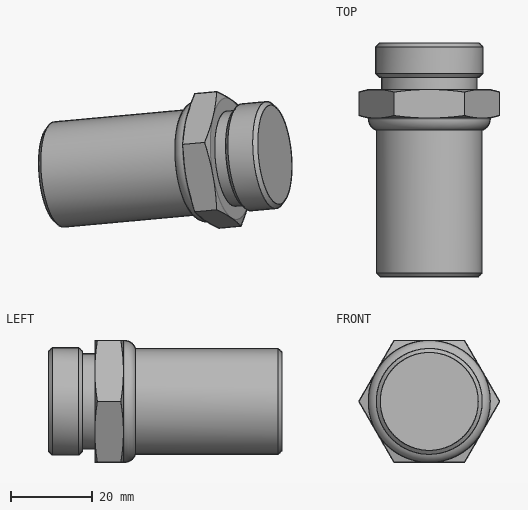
import cadquery as cq
import math

total_length = 57.45
pipe_diameter = 26.0
pipe_length = 36.0
pipe_chamfer = 1.0
collar_length = 3.0
collar_arc_radius = 3.0
hex_across_flats = 30.0
hex_length = 7.0
hex_chamfer_angle = 15.0
neck_diameter = 23.5
neck_length = 3.0
head_diameter = 26.4
head_chamfer = 1.0

pipe_end = -total_length / 2
collar_start = pipe_end + pipe_length
hex_start = collar_start + collar_length
neck_start = hex_start + hex_length
head_start = neck_start + neck_length
head_length = total_length / 2 - head_start
hex_across_corners = hex_across_flats / math.cos(math.radians(30))


def cylinder(diameter, start, length):
    """Solid cylinder growing toward +Y from the given start."""
    return cq.Workplane("XZ", origin=(0, start, 0)).circle(diameter / 2).extrude(-length)


def make_hex():
    """Hexagon with corners on X and both ends turned to a shallow cone."""
    prism = (
        cq.Workplane("XZ", origin=(0, hex_start, 0))
        .polygon(6, hex_across_corners)
        .extrude(-hex_length)
    )
    face_radius = hex_across_flats / 2
    corner_radius = hex_across_corners / 2
    corner_drop = (corner_radius - face_radius) * math.tan(math.radians(hex_chamfer_angle))
    turned_envelope = (
        cq.Workplane("XY")
        .moveTo(0, hex_start)
        .lineTo(face_radius, hex_start)
        .lineTo(corner_radius, hex_start + corner_drop)
        .lineTo(corner_radius, neck_start - corner_drop)
        .lineTo(face_radius, neck_start)
        .lineTo(0, neck_start)
        .close()
        .revolve(360, (0, 0, 0), (0, 1, 0))
    )
    return prism.intersect(turned_envelope)


def make_collar():
    """Collar with a short straight rim, then a convex arc curving in to meet the pipe."""
    outer_radius = hex_across_flats / 2
    pipe_radius = pipe_diameter / 2
    arc_centre_radius = outer_radius - collar_arc_radius
    arc_depth = math.sqrt(collar_arc_radius**2 - (pipe_radius - arc_centre_radius) ** 2)
    return (
        cq.Workplane("XY")
        .moveTo(0, hex_start)
        .lineTo(outer_radius, hex_start)
        .lineTo(outer_radius, collar_start + arc_depth)
        .radiusArc((pipe_radius, collar_start), collar_arc_radius)
        .lineTo(0, collar_start)
        .close()
        .revolve(360, (0, 0, 0), (0, 1, 0))
    )


pipe = cylinder(pipe_diameter, pipe_end, pipe_length).faces("<Y").edges().chamfer(pipe_chamfer)
neck = cylinder(neck_diameter, neck_start, neck_length)
head = cylinder(head_diameter, head_start, head_length).edges().chamfer(head_chamfer)

result = pipe.union(make_collar()).union(make_hex()).union(neck).union(head)